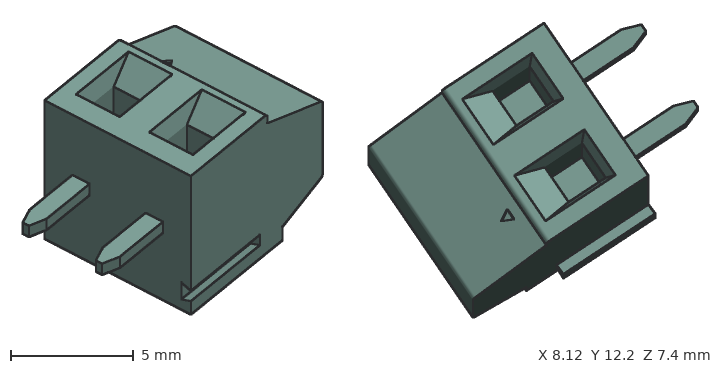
import cadquery as cq


POLES = 2
PITCH = 3.81
WIDTH = POLES * PITCH
DEPTH = 8.6
HEIGHT = 7.4
UPPER_STEP_Y = 5.0
UPPER_STEP_Z = 6.9
LOWER_STEP_Y = 5.98
LOWER_STEP_Z = 0.72
BACK_TOP_Z = 5.7
BACK_BOTTOM_Z = 1.70
EDGE_RADIUS = 0.2

MOUTH_WIDTH = 2.27
MOUTH_FRONT_Y = 1.10
MOUTH_BACK_Y = 4.52
THROAT_WIDTH = 1.73
THROAT_FRONT_Y = 1.40
THROAT_BACK_Y = 3.21
FUNNEL_DEPTH = 0.86
POCKET_DEPTH = 3.0

PIN_WIDTH = 0.9
PIN_THICKNESS = 0.6
PIN_LENGTH = 3.6
PIN_TAPER_LENGTH = 0.8
PIN_TIP_WIDTH = 0.33
PIN_Z = 3.89

DOVETAIL_LENGTH = 4.5
DOVETAIL_DEPTH = 0.5
DOVETAIL_ROOT_HEIGHT = 0.55
DOVETAIL_OUTER_HEIGHT = 0.9
DOVETAIL_Z = 1.0

MARK_WIDTH = 0.5
MARK_FRONT_Y = 5.48
MARK_BACK_Y = 5.93
MARK_DEPTH = 0.1

POLE_POSITIONS = [(i - (POLES - 1) / 2) * PITCH for i in range(POLES)]


def make_housing():
    """Side outline extruded across the width, with three rounded long edges."""
    outline = [
        (0, 0),
        (LOWER_STEP_Y, 0),
        (LOWER_STEP_Y, LOWER_STEP_Z),
        (DEPTH, BACK_BOTTOM_Z),
        (DEPTH, BACK_TOP_Z),
        (UPPER_STEP_Y, UPPER_STEP_Z),
        (UPPER_STEP_Y, HEIGHT),
        (0, HEIGHT),
    ]
    rounded_corners = [
        (DEPTH, BACK_BOTTOM_Z),
        (DEPTH, BACK_TOP_Z),
        (UPPER_STEP_Y, HEIGHT),
    ]
    housing = cq.Workplane("YZ").polyline(outline).close().extrude(WIDTH / 2, both=True)
    for y, z in rounded_corners:
        edge = housing.edges(cq.selectors.NearestToPointSelector((0, y, z)))
        housing = edge.fillet(EDGE_RADIUS)
    return housing


def make_wire_opening(x):
    """Cutting body for one funnel and the pocket below it."""
    mouth_y = (MOUTH_FRONT_Y + MOUTH_BACK_Y) / 2
    throat_y = (THROAT_FRONT_Y + THROAT_BACK_Y) / 2
    throat_length = THROAT_BACK_Y - THROAT_FRONT_Y
    funnel = (
        cq.Workplane("XY", origin=(x, mouth_y, HEIGHT))
        .rect(MOUTH_WIDTH, MOUTH_BACK_Y - MOUTH_FRONT_Y)
        .workplane(offset=-FUNNEL_DEPTH)
        .center(0, throat_y - mouth_y)
        .rect(THROAT_WIDTH, throat_length)
        .loft(ruled=True)
    )
    pocket = (
        cq.Workplane("XY", origin=(x, throat_y, HEIGHT - FUNNEL_DEPTH))
        .rect(THROAT_WIDTH, throat_length)
        .extrude(-POCKET_DEPTH)
    )
    return funnel.union(pocket)


def make_pin(x):
    """Flat pin standing out of the mounting face, narrowed toward its tip."""
    taper_start_y = PIN_TAPER_LENGTH - PIN_LENGTH
    outline = [
        (-PIN_WIDTH / 2, 0),
        (-PIN_WIDTH / 2, taper_start_y),
        (-PIN_TIP_WIDTH / 2, -PIN_LENGTH),
        (PIN_TIP_WIDTH / 2, -PIN_LENGTH),
        (PIN_WIDTH / 2, taper_start_y),
        (PIN_WIDTH / 2, 0),
    ]
    pin = cq.Workplane("XY", origin=(x, 0, PIN_Z)).polyline(outline).close()
    return pin.extrude(PIN_THICKNESS / 2, both=True)


def make_dovetail(root_x):
    """Dovetail bar running back from the mounting face and widening toward -X."""
    outline = [
        (0, -DOVETAIL_ROOT_HEIGHT / 2),
        (-DOVETAIL_DEPTH, -DOVETAIL_OUTER_HEIGHT / 2),
        (-DOVETAIL_DEPTH, DOVETAIL_OUTER_HEIGHT / 2),
        (0, DOVETAIL_ROOT_HEIGHT / 2),
    ]
    bar = cq.Workplane("XZ", origin=(root_x, 0, DOVETAIL_Z)).polyline(outline).close()
    return bar.extrude(-DOVETAIL_LENGTH)


def make_pole_mark(x):
    """Cutting body for the triangle, sunk at right angles to the upper slope."""
    slope = (UPPER_STEP_Z - BACK_TOP_Z) / (DEPTH - UPPER_STEP_Y)
    front_z = UPPER_STEP_Z - slope * (MARK_FRONT_Y - UPPER_STEP_Y)
    back_z = UPPER_STEP_Z - slope * (MARK_BACK_Y - UPPER_STEP_Y)
    slope_plane = cq.Plane(origin=(x, MARK_FRONT_Y, front_z), xDir=(1, 0, 0), normal=(0, slope, 1))
    mark_length = cq.Vector(0, MARK_BACK_Y - MARK_FRONT_Y, back_z - front_z).Length
    outline = [
        (-MARK_WIDTH / 2, 0),
        (MARK_WIDTH / 2, 0),
        (0, mark_length),
    ]
    return cq.Workplane(slope_plane).polyline(outline).close().extrude(-MARK_DEPTH)


result = make_housing()
for pole_x in POLE_POSITIONS:
    result = result.cut(make_wire_opening(pole_x))
    result = result.union(make_pin(pole_x))
result = result.union(make_dovetail(-WIDTH / 2))
result = result.cut(make_dovetail(WIDTH / 2))
result = result.cut(make_pole_mark(POLE_POSITIONS[0]))